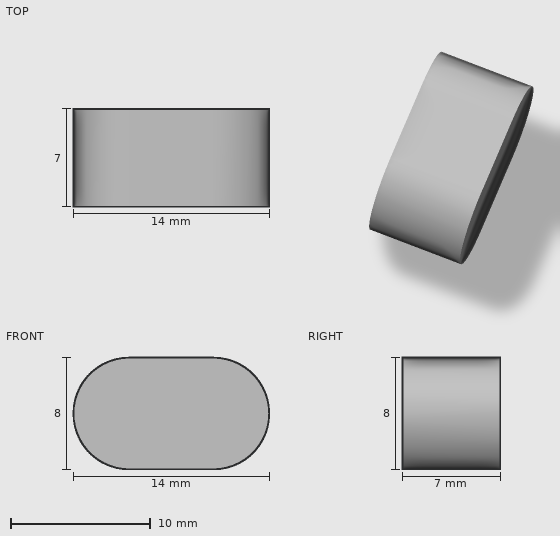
import cadquery as cq

LENGTH = 14.0
DEPTH = 7.0
HEIGHT = 8.0


def rounded_end_block(length, depth, height):
    """Obround profile in the XZ plane, extruded evenly about Y = 0."""
    return cq.Workplane("XZ").slot2D(length, height).extrude(depth / 2, both=True)


result = rounded_end_block(LENGTH, DEPTH, HEIGHT)